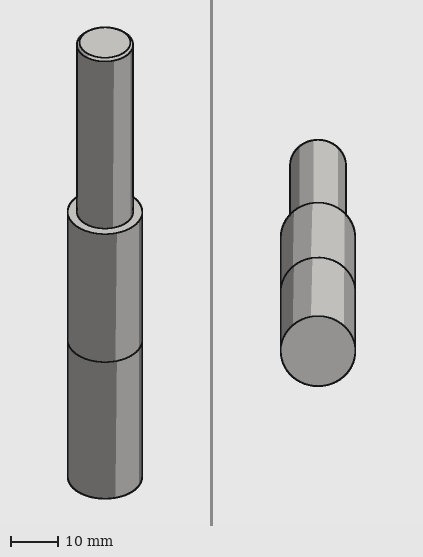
import cadquery as cq

total_height = 115.0
body_diameter = 15.9
pin_diameter = 12.0

base_height = 36.2
shoulder_height = 70.2

tip_chamfer = 0.6


def make_base():
    """Plain cylindrical base, standing on the XY plane."""
    return cq.Workplane("XY").circle(body_diameter / 2).extrude(base_height)


def make_stepped_pin():
    """Collar flush with the base, carrying a thinner pin with a chamfered tip."""
    collar = (
        cq.Workplane("XY")
        .workplane(offset=base_height)
        .circle(body_diameter / 2)
        .extrude(shoulder_height - base_height)
    )
    pin = (
        cq.Workplane("XY")
        .workplane(offset=shoulder_height)
        .circle(pin_diameter / 2)
        .extrude(total_height - shoulder_height)
        .faces(">Z")
        .chamfer(tip_chamfer)
    )
    return collar.union(pin)


base = make_base()
stepped_pin = make_stepped_pin()

result = cq.Compound.makeCompound([base.val(), stepped_pin.val()])